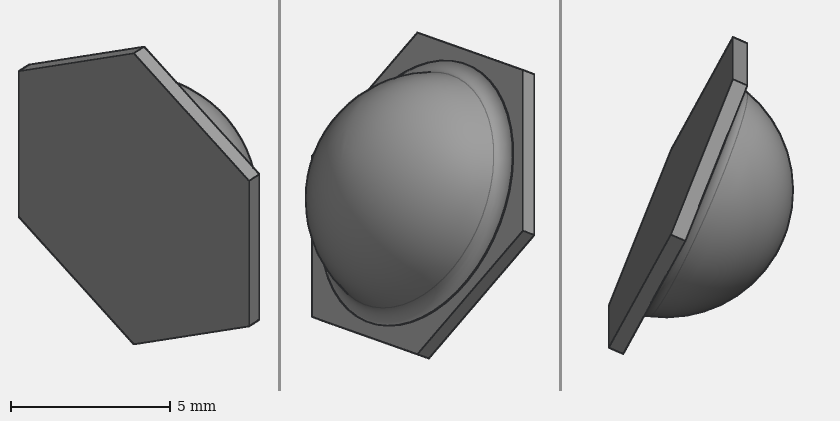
import cadquery as cq
import math

hex_corner_diameter = 11.0
hex_sides = 6
plate_thickness = 0.5

overall_depth = 3.83
dome_radius = 4.0
dome_centre_y = overall_depth - dome_radius

fillet_radius = 0.5
step_height = 0.04


def make_plate():
    """Hexagon with two corners on the Z axis, extruded toward +Y."""
    return (
        cq.Workplane("XZ")
        .polygon(hex_sides, hex_corner_diameter)
        .extrude(-plate_thickness)
        .rotate((0, 0, 0), (0, 1, 0), 90)
    )


def arc_point(centre, radius, angle):
    """Point at the given angle on a circle in the profile plane."""
    return (
        centre[0] + radius * math.cos(angle),
        centre[1] + radius * math.sin(angle),
    )


def make_dome():
    """Dome, foot fillet and step, revolved about the Y axis."""
    step_top_y = plate_thickness + step_height
    fillet_centre_y = step_top_y + fillet_radius
    centre_distance = dome_radius + fillet_radius
    tangent_angle = math.asin((fillet_centre_y - dome_centre_y) / centre_distance)
    foot_radius = centre_distance * math.cos(tangent_angle)

    dome_centre = (0, dome_centre_y)
    fillet_centre = (foot_radius, fillet_centre_y)

    half_angle = (tangent_angle + math.pi / 2) / 2
    dome_mid = arc_point(dome_centre, dome_radius, half_angle)
    fillet_mid = arc_point(fillet_centre, fillet_radius, math.pi + half_angle)
    tangent_point = arc_point(dome_centre, dome_radius, tangent_angle)

    return (
        cq.Workplane("ZY")
        .lineTo(foot_radius, 0)
        .lineTo(foot_radius, step_top_y)
        .threePointArc(fillet_mid, tangent_point)
        .threePointArc(dome_mid, (0, overall_depth))
        .close()
        .revolve(360, (0, 0, 0), (0, 1, 0))
    )


result = make_plate().union(make_dome())